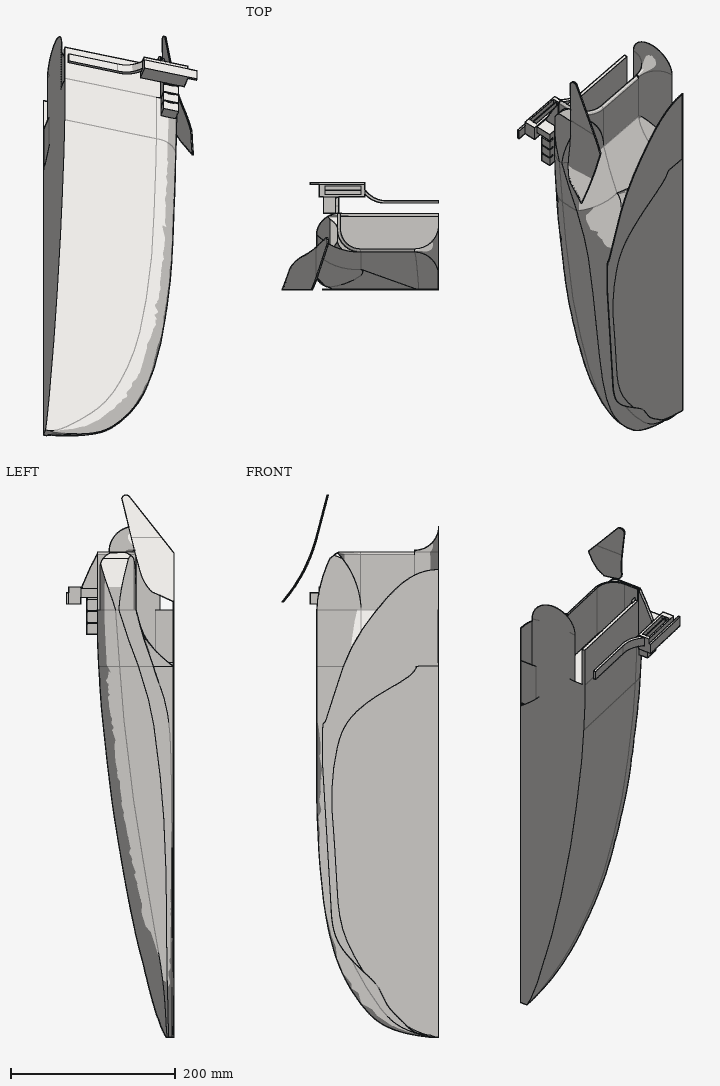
import cadquery as cq
import math


FLOOR_Z = 519.0
RIM_Z = 589.5
REAR_RIM_Z = 572.0
COLLAR_FRONT_Y = 46.0
HULL_BACK_Y = 93.0
HULL_HALF_WIDTH = 148.0
COLLAR_HALF_WIDTH = 123.0
WALL = 4.0
COLLAR_CORNER_R = 28.0
RIM_ROUND = 3.0

UPPER_STATIONS = [
    (FLOOR_Z, HULL_HALF_WIDTH, HULL_BACK_Y, 71.0, 67.0, 94.0, COLLAR_FRONT_Y, 29.0, COLLAR_FRONT_Y),
    (485.0, 148.0, 93.0, 69.0, 56.0, 94.0, 37.0, 27.0, 34.5),
    (450.0, 148.0, 91.5, 66.0, 43.0, 94.0, 25.0, 24.0, 0.0),
]
LOWER_STATIONS = [
    UPPER_STATIONS[-1],
    (421.0, 148.0, 90.0, 64.0, 34.0, 98.0, 15.0, 62.0, 0.0),
    (387.0, 148.0, 87.0, 61.0, 26.0, 116.0, 7.0, 106.0, 0.0),
    (345.0, 148.0, 82.5, 56.5, 20.0, 129.0, 4.0, 123.0, 0.0),
    (287.0, 148.0, 75.5, 49.0, 14.0, 133.0, 3.0, 128.0, 0.0),
    (206.0, 144.0, 62.5, 36.0, 10.0, 127.0, 2.5, 122.5, 0.0),
    (127.0, 133.0, 47.0, 23.0, 9.0, 118.0, 2.5, 113.0, 0.0),
    (79.0, 117.5, 35.0, 15.0, 8.5, 98.0, 2.5, 86.0, 0.0),
    (40.0, 94.0, 24.5, 11.0, 7.5, 74.0, 2.5, 58.0, 0.0),
    (14.0, 65.0, 16.0, 9.5, 7.0, 48.0, 2.5, 33.0, 0.0),
    (2.0, 25.0, 10.5, 8.5, 6.5, 16.0, 2.5, 8.0, 0.0),
    (0.0, 10.0, 9.5, 8.0, 6.0, 6.0, 2.5, 4.0, 0.0),
]
BACK_CORNER_REACH = 32.0
ARC_SAG = 1 - math.sqrt(0.5)
SIDE_BULGE = 0.10

LID_THICKNESS = 1.0
LID_TOP_Z = 568.0
LID_BOTTOM_Z = 2.6

FLARE_R = 29.0
FLARE_FOOT_Z = 455.0
WEB_THICKNESS = 0.5

EAR_FRONT_Y = 45.0
EAR_BACK_Y = 90.0
EAR_ROUND = 20.0


def box(x0, x1, y0, y1, z0, z1):
    """Box between two opposite corners."""
    return cq.Workplane("XY").box(x1 - x0, y1 - y0, z1 - z0, centered=False).translate((x0, y0, z0))


def hull_section(station):
    """Closed outline of the hull at one height."""
    z, half_width, back, rear_crease, front_crease, shoulder_x, shoulder_y, foot_x, foot_y = station
    reach = min(BACK_CORNER_REACH, half_width / 2)
    corner_mid = (-half_width + ARC_SAG * reach, back - ARC_SAG * (back - rear_crease))
    run_x = half_width - shoulder_x
    run_y = front_crease - shoulder_y
    side_mid = (
        -half_width + run_x / 2 - SIDE_BULGE * run_y,
        shoulder_y + run_y / 2 - SIDE_BULGE * run_x,
    )
    return (
        cq.Workplane("XY", origin=(0, 0, z))
        .moveTo(0, back)
        .lineTo(-half_width + reach, back)
        .threePointArc(corner_mid, (-half_width, rear_crease))
        .lineTo(-half_width, front_crease)
        .threePointArc(side_mid, (-shoulder_x, shoulder_y))
        .lineTo(-foot_x, foot_y)
        .lineTo(0, foot_y)
        .close()
        .val()
    )


def make_loft():
    """Boat-shaped lower hull: its front sinks back towards the collar above the upper stations."""
    upper, lower = (
        cq.Workplane(cq.Solid.makeLoft([hull_section(station) for station in stations]))
        for stations in (UPPER_STATIONS, LOWER_STATIONS)
    )
    return upper.union(lower)


def make_lid():
    """Thin flat front plate: a tall arch above, an S-shaped nose below."""
    return (
        cq.Workplane("XZ")
        .moveTo(0, LID_TOP_Z)
        .spline(
            [(-27.5, 562), (-75, 519), (-118, 444), (-138, 383), (-141, 333)],
            tangents=[(-1, 0), (0, -1)],
            includeCurrent=True,
        )
        .lineTo(-131.5, 174)
        .spline(
            [(-123, 118), (-85, 74), (-74, 62), (-62, 39), (-42, 17.5), (0, LID_BOTTOM_Z)],
            tangents=[(0.05, -1), (1, 0)],
            includeCurrent=True,
        )
        .close()
        .extrude(-LID_THICKNESS)
    )


def make_collar():
    """Open-topped pocket standing on the lofted hull."""
    outer = box(-COLLAR_HALF_WIDTH, 0, COLLAR_FRONT_Y, HULL_BACK_Y, FLOOR_Z, RIM_Z)
    outer = outer.edges("|Z and <X and <Y").fillet(COLLAR_CORNER_R)
    outer = outer.faces(">Z").edges("not(>X or >Y)").fillet(RIM_ROUND)
    pocket = box(
        -COLLAR_HALF_WIDTH + WALL, 0, COLLAR_FRONT_Y + WALL, HULL_BACK_Y - WALL, FLOOR_Z, RIM_Z
    )
    pocket = pocket.edges("|Z and <X and <Y").fillet(COLLAR_CORNER_R - WALL)
    rear_trim = box(
        -COLLAR_HALF_WIDTH + WALL, 0, HULL_BACK_Y - WALL, HULL_BACK_Y, REAR_RIM_Z, RIM_Z
    )
    return outer.cut(rear_trim), pocket


def make_ear():
    """Rounded shoulder beside the collar."""
    ear = (
        cq.Workplane("XZ", origin=(0, EAR_FRONT_Y, 0))
        .moveTo(-HULL_HALF_WIDTH, FLOOR_Z)
        .threePointArc((-142, 555), (-132, RIM_Z - 8))
        .lineTo(-COLLAR_HALF_WIDTH, RIM_Z - 1)
        .threePointArc((-102, 556), (-94, FLOOR_Z))
        .close()
        .extrude(EAR_FRONT_Y - EAR_BACK_Y)
    )
    profile = (
        box(-HULL_HALF_WIDTH, 0, EAR_FRONT_Y, EAR_BACK_Y, FLOOR_Z, RIM_Z)
        .edges("|X and >Z")
        .fillet(EAR_ROUND)
    )
    plan = cq.Workplane(hull_section(UPPER_STATIONS[0])).toPending().extrude(RIM_Z - FLOOR_Z)
    return ear.intersect(profile).intersect(plan)


def make_flare():
    """Trumpet-shaped fillet that spreads the collar's front wall onto the centre plane."""
    half_wall = WALL / 2
    wall_y = COLLAR_FRONT_Y + half_wall
    bow = FLARE_R * ARC_SAG
    edge = half_wall + FLARE_R
    profile = (
        cq.Workplane("XY", origin=(0, wall_y, RIM_Z))
        .moveTo(0, 0)
        .lineTo(-FLARE_R, 0)
        .lineTo(-FLARE_R, half_wall)
        .threePointArc((-bow, half_wall + bow), (0, edge))
        .close()
    )
    crown = profile.revolve(180, (0, 0, 0), (1, 0, 0))
    back_leg = profile.wires().toPending().extrude(FLARE_FOOT_Z - RIM_Z)
    front_leg = back_leg.mirror("XZ", (0, wall_y, 0))
    return crown.union(back_leg).union(front_leg)


def make_hull():
    collar, pocket = make_collar()
    web = box(-WEB_THICKNESS, 0, 0, COLLAR_FRONT_Y, FLARE_FOOT_Z, FLOOR_Z)
    hull = make_loft().union(collar).union(make_ear()).cut(pocket)
    return hull.union(make_flare()).union(web).union(make_lid())


WINGLET_THICKNESS = 1.8
WINGLET_TIP = (-190.26, 528.5)
WINGLET_BEND = (-149.0, 607.0)
WINGLET_CREST = (-135.5, 658.48)
WINGLET_REACH_Y = 80.0


def make_winglet():
    """Thin curved blade, cut from an arched sheet by its side outline."""
    tip_x, tip_z = WINGLET_TIP
    bend_x, bend_z = WINGLET_BEND
    crest_x, crest_z = WINGLET_CREST
    t = WINGLET_THICKNESS
    outer_side = (
        cq.Workplane("XZ")
        .moveTo(crest_x, crest_z)
        .lineTo(bend_x, bend_z)
        .tangentArcPoint((tip_x, tip_z), relative=False)
    )
    sheet = (
        outer_side.lineTo(tip_x + t, tip_z)
        .threePointArc((-165.5 + t, 564.5), (bend_x + t, bend_z))
        .lineTo(crest_x + t, crest_z)
        .close()
        .extrude(-WINGLET_REACH_Y)
    )
    outline = (
        cq.Workplane("YZ", origin=(tip_x, 0, 0))
        .moveTo(0, tip_z)
        .lineTo(0, 588.0)
        .lineTo(54.0, 656.5)
        .threePointArc((57.5, crest_z), (63.5, 654.0))
        .lineTo(47.0, 587.0)
        .lineTo(41.0, 565.0)
        .threePointArc((33.0, 548.0), (27.0, 541.0))
        .close()
        .extrude(-tip_x)
    )
    return sheet.intersect(outline)


BRACKET_BACK_Y = 130.61
STRIP_THICKNESS = 2.5
STRIP_LEFT_X = -156.0
STRIP_HEIGHT = 14.0
CLIP_LEFT_X = -145.0
CLIP_RIGHT_X = -89.5
CLIP_FRONT_Y = 113.0
CLIP_BOTTOM_Z = 526.0
CLIP_TOP_Z = 547.0
SLOT_WIDTH = 4.5
SLOT_PITCH = 5.5
SLOT_DEPTH = 11.0
SLOT_FRONT_MARGIN = 3.0
SLOT_LEFT_MARGIN = 7.0
SLOT_RIGHT_MARGIN = 4.5
STRAP_FRONT_Y = 105.5
STRAP_THICKNESS = 3.0
STRAP_BOTTOM_Z = 534.0
STRAP_HEIGHT = 12.0
NECK_HEIGHT = 11.0
TAB_LEFT_X = -140.0
TAB_RIGHT_X = -121.0
TAB_BACK_Y = 106.0
TAB_TOP_Z = 533.0
TAB_PITCH = 14.6
TAB_GAP = 1.5
TAB_COUNT = 3
SPINE_INSET = 6.0
SPINE_SETBACK = 1.0
SPINE_OVERLAP = 6.0
GUSSET_THICKNESS = 4.0


def make_clip():
    """Slotted block with a longer backing strip."""
    strip_front = BRACKET_BACK_Y - STRIP_THICKNESS
    clip = box(CLIP_LEFT_X, CLIP_RIGHT_X, CLIP_FRONT_Y, strip_front, CLIP_BOTTOM_Z, CLIP_TOP_Z)
    first_slot_y = CLIP_FRONT_Y + SLOT_FRONT_MARGIN
    for slot_y in (first_slot_y, first_slot_y + SLOT_PITCH):
        slot = box(
            CLIP_LEFT_X + SLOT_LEFT_MARGIN, CLIP_RIGHT_X - SLOT_RIGHT_MARGIN,
            slot_y, slot_y + SLOT_WIDTH,
            CLIP_TOP_Z - SLOT_DEPTH, CLIP_TOP_Z,
        )
        clip = clip.cut(slot)
    strip_top = CLIP_BOTTOM_Z + STRIP_HEIGHT
    strip = box(STRIP_LEFT_X, CLIP_RIGHT_X, strip_front, BRACKET_BACK_Y, CLIP_BOTTOM_Z, strip_top)
    return clip.union(strip)


def make_strap():
    """Flat strap that runs from the clip to the centre plane behind the collar."""
    strap_back = STRAP_FRONT_Y + STRAP_THICKNESS
    bend_x = -62.0
    return (
        cq.Workplane("XY", origin=(0, 0, STRAP_BOTTOM_Z))
        .moveTo(CLIP_RIGHT_X - 1.5, 118)
        .threePointArc((-80, 109), (bend_x, STRAP_FRONT_Y))
        .lineTo(0, STRAP_FRONT_Y)
        .lineTo(0, strap_back)
        .lineTo(bend_x, strap_back)
        .threePointArc((-78, 112), (CLIP_RIGHT_X, 122))
        .close()
        .extrude(STRAP_HEIGHT)
    )


def make_tabs():
    """Stack of mounting tabs on a narrower spine, all resting against the hull's back."""
    stack_bottom = TAB_TOP_Z - TAB_COUNT * TAB_PITCH
    tabs = box(
        TAB_LEFT_X + SPINE_INSET, TAB_RIGHT_X - SPINE_INSET,
        HULL_BACK_Y, TAB_BACK_Y - SPINE_SETBACK,
        stack_bottom, STRAP_BOTTOM_Z + SPINE_OVERLAP,
    )
    for step in range(TAB_COUNT):
        bottom = stack_bottom + step * TAB_PITCH
        tabs = tabs.union(
            box(TAB_LEFT_X, TAB_RIGHT_X, HULL_BACK_Y, TAB_BACK_Y, bottom, bottom + TAB_PITCH - TAB_GAP)
        )
    return tabs


def make_gusset():
    """Sloping rib from the collar's rear corner down to the clip."""
    wall_side = [(HULL_BACK_Y, FLOOR_Z), (HULL_BACK_Y, RIM_Z - 2)]
    outline = wall_side + [(102, 570), (112, CLIP_TOP_Z), (TAB_BACK_Y, TAB_TOP_Z)]
    return (
        cq.Workplane("YZ", origin=(TAB_RIGHT_X - GUSSET_THICKNESS, 0, 0))
        .polyline(outline)
        .close()
        .extrude(GUSSET_THICKNESS)
    )


def make_bracket(hull):
    neck_top = STRAP_BOTTOM_Z + NECK_HEIGHT
    neck = box(TAB_LEFT_X, TAB_RIGHT_X, HULL_BACK_Y, CLIP_FRONT_Y, STRAP_BOTTOM_Z, neck_top)
    bracket = make_clip().union(make_strap()).union(neck).union(make_tabs()).union(make_gusset())
    return bracket.cut(hull)


hull = make_hull()
winglet = make_winglet()
bracket = make_bracket(hull)

result = cq.Compound.makeCompound([*hull.vals(), *winglet.vals(), *bracket.vals()])